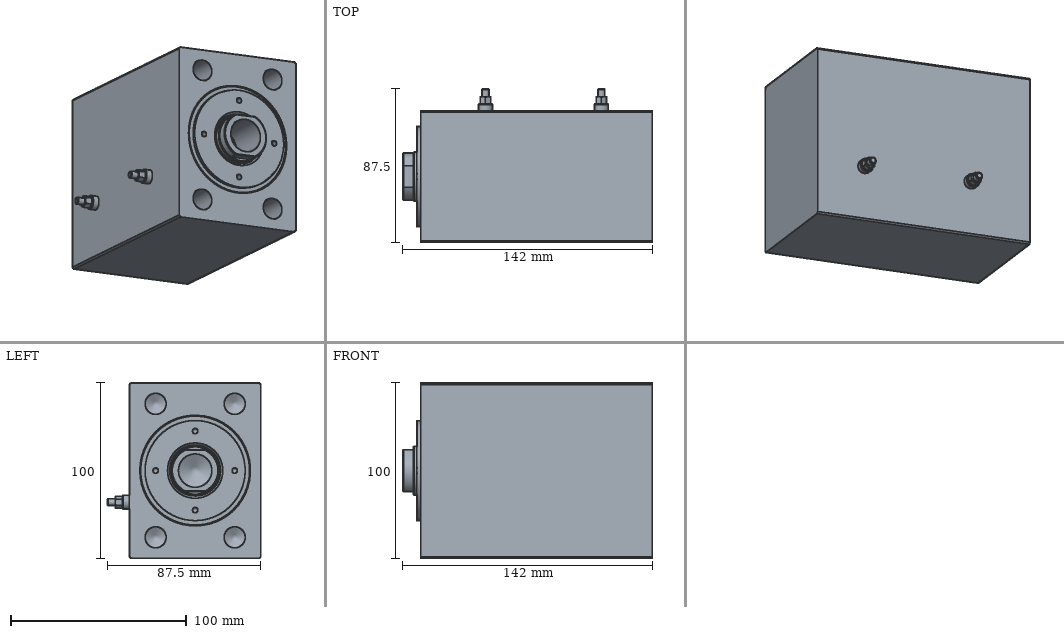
import cadquery as cq
import math

block_length = 132.0
block_width = 75.0
block_height = 100.0
block_edge_chamfer = 1.0

mount_hole_diameter = 12.0
mount_hole_depth = 30.0
mount_spacing_y = 45.0
mount_spacing_z = 76.0
drill_point_angle = 118.0

gland_diameter = 62.0
gland_depth = 20.0
gland_seat_chamfer = 0.5
gland_face_diameter = 57.0
gland_face_height = 2.0
gland_mouth_diameter = 31.5
gland_throat_diameter = 29.0
pin_hole_diameter = 3.0
pin_hole_depth = 5.0
pin_circle_diameter = 45.0
pin_hole_count = 4

rod_diameter = 28.0
rod_shoulder_x = -4.0
rod_tip_x = -10.0
rod_end_x = 60.0
rod_shoulder_chamfer = 0.5
tip_diameter = 27.0
tip_across_flats = 24.0
tip_chamfer = 0.5
rod_bore_diameter = 19.0
rod_bore_depth = 30.0

nipple_positions_x = (37.0, 103.0)
nipple_z = -18.0
nipple_base_diameter = 8.0
nipple_base_height = 4.0
nipple_base_chamfer = 0.5
nipple_hex_across_flats = 6.0
nipple_hex_height = 4.0
nipple_hex_chamfer = 0.4
nipple_tip_diameter = 4.0
nipple_tip_height = 4.5
nipple_tip_chamfer = 0.5


def x_cylinder(diameter, start_x, end_x):
    """Cylinder on the X axis between two X positions."""
    return cq.Workplane("YZ", origin=(start_x, 0, 0)).circle(diameter / 2).extrude(end_x - start_x)


def x_cone(start_diameter, end_diameter, start_x):
    """45 degree cone on the X axis, narrowing toward +X from start_x."""
    depth = (start_diameter - end_diameter) / 2
    return (
        cq.Workplane("XY")
        .polyline([(0, 0), (0, start_diameter / 2), (depth, end_diameter / 2), (depth, 0)])
        .close()
        .revolve(360, (0, 0, 0), (1, 0, 0))
        .translate((start_x, 0, 0))
    )


def drilled_hole(diameter, depth, mouth_x, y=0.0, z=0.0):
    """Cutter for a hole drilled toward +X, ending in a conical drill point."""
    radius = diameter / 2
    point_length = radius / math.tan(math.radians(drill_point_angle / 2))
    return (
        cq.Workplane("XY")
        .polyline([(0, 0), (0, radius), (depth, radius), (depth + point_length, 0)])
        .close()
        .revolve(360, (0, 0, 0), (1, 0, 0))
        .translate((mouth_x, y, z))
    )


def make_housing():
    body = cq.Workplane("XY").box(block_length, block_width, block_height, centered=(False, True, True))
    body = body.edges("|X").chamfer(block_edge_chamfer)
    for side_y in (-1, 1):
        for side_z in (-1, 1):
            y = side_y * mount_spacing_y / 2
            z = side_z * mount_spacing_z / 2
            body = body.cut(drilled_hole(mount_hole_diameter, mount_hole_depth, 0, y, z))
    gland_seat = x_cylinder(gland_diameter, 0, gland_depth)
    seat_mouth = x_cone(gland_diameter + 2 * gland_seat_chamfer, gland_diameter, 0)
    rod_bore = x_cylinder(rod_diameter, gland_depth, rod_end_x)
    return body.cut(gland_seat).cut(seat_mouth).cut(rod_bore)


def make_gland():
    collar = x_cylinder(gland_diameter, 0, gland_depth)
    body = collar.union(x_cylinder(gland_face_diameter, -gland_face_height, 0))
    body = body.cut(x_cylinder(rod_diameter, -gland_face_height, gland_depth))
    body = body.cut(x_cone(gland_mouth_diameter, gland_throat_diameter, -gland_face_height))
    for index in range(pin_hole_count):
        angle = 2 * math.pi * index / pin_hole_count
        y = pin_circle_diameter / 2 * math.cos(angle)
        z = pin_circle_diameter / 2 * math.sin(angle)
        body = body.cut(drilled_hole(pin_hole_diameter, pin_hole_depth, -gland_face_height, y, z))
    return body


def make_rod():
    shank = x_cylinder(rod_diameter, rod_shoulder_x, rod_end_x)
    shank = shank.faces("<X").chamfer(rod_shoulder_chamfer)
    tip_length = rod_shoulder_x - rod_tip_x
    tip = x_cylinder(tip_diameter, rod_tip_x, rod_shoulder_x)
    flats = cq.Workplane("XY").box(tip_length, tip_diameter, tip_across_flats)
    tip = tip.intersect(flats.translate((rod_tip_x + tip_length / 2, 0, 0)))
    tip = tip.faces("<X").chamfer(tip_chamfer)
    return shank.union(tip).cut(drilled_hole(rod_bore_diameter, rod_bore_depth, rod_tip_x))


def make_nipple(x):
    """Bleed nipple pointing along +Y, with hexagon corners toward +Z and -Z."""
    base = cq.Workplane("XY").circle(nipple_base_diameter / 2).extrude(nipple_base_height)
    base = base.faces(">Z").chamfer(nipple_base_chamfer)

    hex_corner_diameter = nipple_hex_across_flats / math.cos(math.pi / 6)
    hexagon = (
        cq.Workplane("XY")
        .polygon(6, hex_corner_diameter)
        .extrude(nipple_hex_height)
        .rotate((0, 0, 0), (0, 0, 1), 90)
    )
    trim_base_radius = hex_corner_diameter / 2 - nipple_hex_chamfer + nipple_hex_height
    corner_trim = cq.Workplane("XY").circle(trim_base_radius).extrude(nipple_hex_height, taper=45)
    hexagon = hexagon.intersect(corner_trim).translate((0, 0, nipple_base_height))

    tip = cq.Workplane("XY").circle(nipple_tip_diameter / 2).extrude(nipple_tip_height)
    tip = tip.faces(">Z").chamfer(nipple_tip_chamfer)
    tip = tip.translate((0, 0, nipple_base_height + nipple_hex_height))

    upright = base.union(hexagon).union(tip)
    return upright.rotate((0, 0, 0), (1, 0, 0), -90).translate((x, block_width / 2, nipple_z))


housing = make_housing()
gland = make_gland()
rod = make_rod()
nipples = [make_nipple(x) for x in nipple_positions_x]

result = cq.Compound.makeCompound(
    [housing.val(), gland.val(), rod.val(), *[nipple.val() for nipple in nipples]]
)